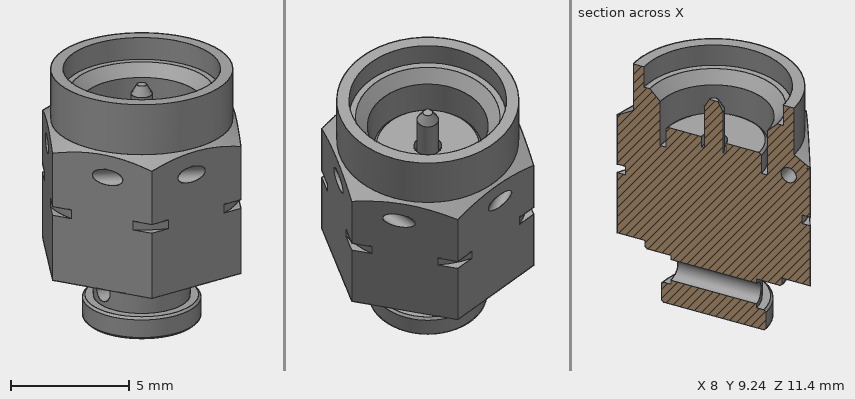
import cadquery as cq
import math

total_height = 11.4
foot_top = 1.01
flange_bottom = 2.42
nut_bottom = 2.8
sleeve_bottom = 9.1

across_flats = 8.0
across_corners = across_flats / math.cos(math.radians(30))
sleeve_radius = 3.85
nut_chamfer_angle = 30
flange_radius = 3.3
neck_radius = 2.05
foot_radius = 2.51
edge_chamfer = 0.1

mouth_radius = 3.33
mouth_floor = 10.4
funnel_radius = 3.05
bore_radius = 2.55
insert_radius = 2.29
insert_chamfer = 0.11
insert_top = 8.73
gap_depth = 1.0

pin_radius = 0.46
pin_tip_radius = 0.2
pin_top = 10.68
pin_shoulder = 10.26
pin_recess_radius = 0.58
pin_recess_depth = 0.5

groove_radius = 4.25
groove_bottom = 5.8
groove_width = 0.4
wire_hole_diameter = 0.71
wire_hole_offset = 3.59
wire_hole_height = 8.0
wire_hole_angles = (0, 120, 240)
neck_hole_diameter = 1.0
neck_hole_height = 1.71


def cylinder(radius, bottom, top):
    return cq.Workplane("XY").workplane(offset=bottom).circle(radius).extrude(top - bottom)


def cone(bottom_radius, top_radius, bottom, top):
    profile = [(0, bottom), (bottom_radius, bottom), (top_radius, top), (0, top)]
    return cq.Workplane("XZ").polyline(profile).close().revolve(360, (0, 0), (0, 1))


def make_nut():
    nut = (
        cq.Workplane("XY")
        .workplane(offset=nut_bottom)
        .polygon(6, across_corners)
        .extrude(sleeve_bottom - nut_bottom)
        .rotate((0, 0, 0), (0, 0, 1), 30)
    )
    cone_height = sleeve_bottom - nut_bottom
    cone_spread = cone_height / math.tan(math.radians(nut_chamfer_angle))
    nut = nut.intersect(cone(sleeve_radius + cone_spread, sleeve_radius, nut_bottom, sleeve_bottom))
    return nut.union(cylinder(sleeve_radius, sleeve_bottom, total_height))


def make_tail():
    foot = cylinder(foot_radius, 0, foot_top).edges().chamfer(edge_chamfer)
    neck = cylinder(neck_radius, foot_top, flange_bottom)
    flange = cylinder(flange_radius, flange_bottom, nut_bottom).faces("<Z").edges().chamfer(edge_chamfer)
    return foot.union(neck).union(flange)


def make_socket():
    funnel_bottom = mouth_floor - (funnel_radius - bore_radius)
    mouth = cylinder(mouth_radius, mouth_floor, total_height)
    funnel = cone(bore_radius, funnel_radius, funnel_bottom, mouth_floor)
    bore = cylinder(bore_radius, insert_top - gap_depth, funnel_bottom)
    return mouth.union(funnel).union(bore)


def make_insert():
    bottom = insert_top - gap_depth
    insert = cylinder(insert_radius, bottom, insert_top).faces(">Z").edges().chamfer(insert_chamfer)
    recess_floor = insert_top - pin_recess_depth
    insert = insert.cut(cylinder(pin_recess_radius, recess_floor, insert_top))
    pin = cylinder(pin_radius, recess_floor, pin_shoulder)
    pin_tip = cone(pin_radius, pin_tip_radius, pin_shoulder, pin_top)
    return insert.union(pin).union(pin_tip)


def make_corner_groove():
    groove_top = groove_bottom + groove_width
    ring = cylinder(across_corners, groove_bottom, groove_top)
    return ring.cut(cylinder(groove_radius, groove_bottom, groove_top))


def make_wire_hole(angle):
    return (
        cq.Workplane("YZ")
        .center(wire_hole_offset, wire_hole_height)
        .circle(wire_hole_diameter / 2)
        .extrude(across_corners / 2, both=True)
        .rotate((0, 0, 0), (0, 0, 1), angle)
    )


def make_neck_hole():
    return (
        cq.Workplane("XZ")
        .center(0, neck_hole_height)
        .circle(neck_hole_diameter / 2)
        .extrude(foot_radius, both=True)
    )


body = make_nut().union(make_tail())
body = body.cut(make_socket()).union(make_insert())
body = body.cut(make_corner_groove()).cut(make_neck_hole())
for hole_angle in wire_hole_angles:
    body = body.cut(make_wire_hole(hole_angle))

result = body